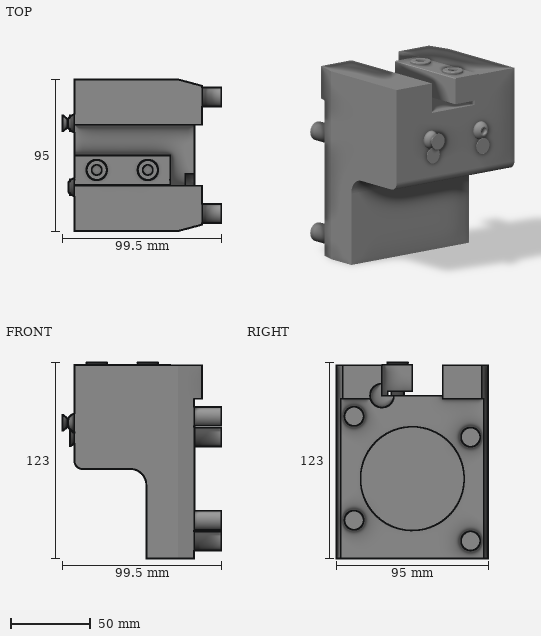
import cadquery as cq

WIDTH = 95.0
HEIGHT = 121.0
COLUMN_FRONT_X = 45.0
BACK_X = 75.0
LIP_X = 80.0
LIP_BOTTOM_Z = 100.0
SHELF_Z = 56.0
NOSE_RADIUS = 5.0
INNER_RADIUS = 10.0
TAPER_START_X = 65.0
TAPER_INSET = 4.0

SLOT_HALF_WIDTH = 19.0
SLOT_FLOOR_Z = 102.0
RELIEF_RADIUS = 7.5
RELIEF_START_X = 69.5

CLAMP_LENGTH = 60.0
CLAMP_WIDTH = SLOT_HALF_WIDTH
CLAMP_BOTTOM_Z = 104.7
CLAMP_TOP_Z = 121.4
CLAMP_FOOT_WIDTH = 3.7
CLAMP_EDGE_CHAMFER = 0.4

STRAP_SCREW_XS = (14.0, 46.0)
STRAP_SCREW_Y = -9.2
STRAP_SHANK_RADIUS = 4.0
STRAP_HEAD_TOP_Z = 123.02
STRAP_HEAD_BASE_RADIUS = 6.35
STRAP_HEAD_RADIUS = 6.5
STRAP_HEAD_TOP_RADIUS = 6.2
STRAP_HEAD_CHAMFER = 0.5
STRAP_SOCKET_RADIUS = 3.2
STRAP_SOCKET_DEPTH = 2.0

MOUNT_SCREW_RADIUS = 6.0
MOUNT_SCREW_END_X = 92.0
MOUNT_SCREW_Y = 36.5
MOUNT_SCREW_PITCH_Z = 65.0
MOUNT_SCREW_LOW_Z = {1: 11.0, -1: 24.0}

PAD_RADIUS = 32.5
PAD_Z = 50.0
PAD_HEIGHT = 0.4

NOZZLE_Y = 20.0
BALL_Z = 85.0
BALL_RADIUS = 5.9
BALL_CENTRE_X = 1.4
BALL_TIP_X = -3.7
BALL_BORE_RADIUS = 2.3
BALL_BORE_DEPTH = 4.0
FLARE_RADIUS = 5.1
NECK_RADIUS = 2.9
FLARE_LENGTH = 3.05
FLARE_RIM = 0.3
FLARE_TIP_X = -7.55
PLUG_Z = 75.3
PLUG_TIP_X = -2.75

EMBED = 2.0


def box(x0, x1, y0, y1, z0, z1):
    return cq.Workplane("XY").box(x1 - x0, y1 - y0, z1 - z0, centered=False).translate((x0, y0, z0))


def rod(x0, x1, y, z, radius):
    """Cylinder along X."""
    return cq.Workplane("YZ", origin=(x0, y, z)).circle(radius).extrude(x1 - x0)


def make_body():
    side = (
        cq.Workplane("XZ")
        .moveTo(0, HEIGHT)
        .lineTo(LIP_X, HEIGHT)
        .lineTo(LIP_X, LIP_BOTTOM_Z)
        .lineTo(BACK_X, LIP_BOTTOM_Z)
        .lineTo(BACK_X, 0)
        .lineTo(COLUMN_FRONT_X, 0)
        .lineTo(COLUMN_FRONT_X, SHELF_Z - INNER_RADIUS)
        .radiusArc((COLUMN_FRONT_X - INNER_RADIUS, SHELF_Z), -INNER_RADIUS)
        .lineTo(NOSE_RADIUS, SHELF_Z)
        .radiusArc((0, SHELF_Z + NOSE_RADIUS), NOSE_RADIUS)
        .close()
        .extrude(WIDTH / 2, both=True)
    )
    half = WIDTH / 2
    plan = (
        cq.Workplane("XY")
        .polyline([
            (0, -half),
            (TAPER_START_X, -half),
            (LIP_X, TAPER_INSET - half),
            (LIP_X, half - TAPER_INSET),
            (TAPER_START_X, half),
            (0, half),
        ])
        .close()
        .extrude(HEIGHT)
    )
    slot = box(0, LIP_X, -SLOT_HALF_WIDTH, SLOT_HALF_WIDTH, SLOT_FLOOR_Z, HEIGHT)
    lip_gap = box(BACK_X, LIP_X, -SLOT_HALF_WIDTH, SLOT_HALF_WIDTH, LIP_BOTTOM_Z, SLOT_FLOOR_Z)
    relief = rod(RELIEF_START_X, LIP_X, -SLOT_HALF_WIDTH, SLOT_FLOOR_Z, RELIEF_RADIUS)
    return side.intersect(plan).cut(slot).cut(lip_gap).cut(relief)


def make_clamp():
    strap = box(0, CLAMP_LENGTH, -CLAMP_WIDTH, 0, CLAMP_BOTTOM_Z, CLAMP_TOP_Z)
    strap = strap.faces(">Z").edges("|X").chamfer(CLAMP_EDGE_CHAMFER)
    foot_edge_y = CLAMP_FOOT_WIDTH - CLAMP_WIDTH
    foot = box(0, CLAMP_LENGTH, -CLAMP_WIDTH, foot_edge_y, SLOT_FLOOR_Z, CLAMP_BOTTOM_Z)
    return strap.union(foot)


def make_strap_screw(x):
    """Shank and round head; its socket is a separate cut."""
    rim_z = STRAP_HEAD_TOP_Z - STRAP_HEAD_CHAMFER
    return (
        cq.Workplane("XZ", origin=(x, STRAP_SCREW_Y, 0))
        .polyline([
            (0, SLOT_FLOOR_Z - EMBED),
            (STRAP_SHANK_RADIUS, SLOT_FLOOR_Z - EMBED),
            (STRAP_SHANK_RADIUS, CLAMP_TOP_Z),
            (STRAP_HEAD_BASE_RADIUS, CLAMP_TOP_Z),
            (STRAP_HEAD_RADIUS, rim_z),
            (STRAP_HEAD_TOP_RADIUS, STRAP_HEAD_TOP_Z),
            (0, STRAP_HEAD_TOP_Z),
        ])
        .close()
        .revolve(360, (0, 0, 0), (0, 1, 0))
    )


def make_strap_socket(x):
    floor_z = STRAP_HEAD_TOP_Z - STRAP_SOCKET_DEPTH
    plane = cq.Workplane("XY", origin=(x, STRAP_SCREW_Y, floor_z))
    return plane.circle(STRAP_SOCKET_RADIUS).extrude(STRAP_SOCKET_DEPTH)


def make_ball(y):
    ball = cq.Workplane("XY").sphere(BALL_RADIUS).translate((BALL_CENTRE_X, y, BALL_Z))
    keep = rod(BALL_TIP_X, EMBED, y, BALL_Z, BALL_RADIUS)
    return ball.intersect(keep)


def make_flare(tip_x, y, z):
    """Cone with a straight rim that opens toward -X, on a neck that runs back into the body."""
    neck_x = tip_x + FLARE_LENGTH
    return (
        cq.Workplane("XY", origin=(0, y, z))
        .polyline([
            (tip_x, 0),
            (tip_x, FLARE_RADIUS),
            (tip_x + FLARE_RIM, FLARE_RADIUS),
            (neck_x, NECK_RADIUS),
            (EMBED, NECK_RADIUS),
            (EMBED, 0),
        ])
        .close()
        .revolve(360, (0, 0, 0), (1, 0, 0))
    )


result = make_body().union(make_clamp())
for screw_x in STRAP_SCREW_XS:
    result = result.union(make_strap_screw(screw_x)).cut(make_strap_socket(screw_x))

for side_sign, low_z in MOUNT_SCREW_LOW_Z.items():
    for screw_z in (low_z, low_z + MOUNT_SCREW_PITCH_Z):
        screw_y = side_sign * MOUNT_SCREW_Y
        screw = rod(BACK_X - EMBED, MOUNT_SCREW_END_X, screw_y, screw_z, MOUNT_SCREW_RADIUS)
        result = result.union(screw)

result = result.union(rod(BACK_X - EMBED, BACK_X + PAD_HEIGHT, 0, PAD_Z, PAD_RADIUS))

for nozzle_y in (NOZZLE_Y, -NOZZLE_Y):
    result = result.union(make_ball(nozzle_y))
    result = result.union(make_flare(PLUG_TIP_X, nozzle_y, PLUG_Z))

result = result.union(make_flare(FLARE_TIP_X, NOZZLE_Y, BALL_Z))
result = result.cut(rod(BALL_TIP_X, BALL_TIP_X + BALL_BORE_DEPTH, -NOZZLE_Y, BALL_Z, BALL_BORE_RADIUS))